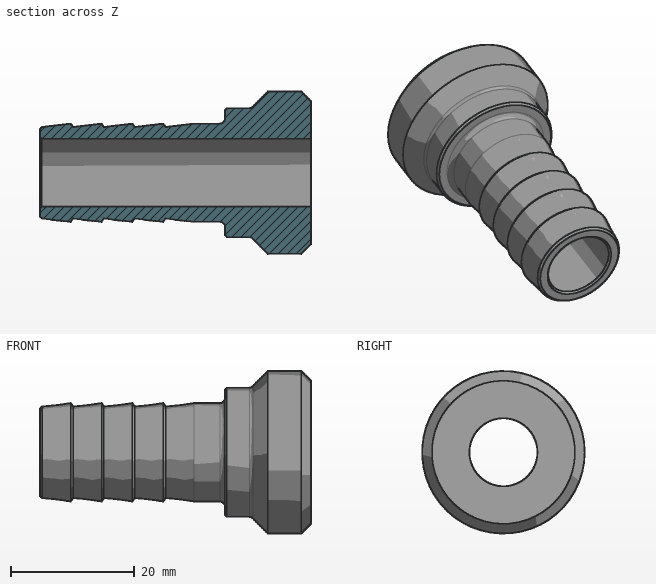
import cadquery as cq
import math

total_length = 44.0
barb_pitch = 5.0
barb_count = 5
barb_step_length = 0.4
collar_start = 30.0
cone_root = 34.3

bore_radius = 11.0 / 2
valley_radius = 7.45
stem_radius = 16.0 / 2
collar_radius = 21.0 / 2
head_radius = 26.4 / 2

nose_chamfer = 0.35
bore_chamfer = 0.3
stem_fillet = 0.8
collar_chamfer = 0.35
cone_fillet = 0.8
cone_angle = math.radians(45)
rim_chamfer = 1.6


def add_barbs(profile):
    """Conical barbs, each rising to the stem radius; the last one runs into the stem."""
    for number in range(1, barb_count + 1):
        crest = number * barb_pitch
        profile = profile.lineTo(crest, stem_radius)
        if number < barb_count:
            profile = profile.lineTo(crest + barb_step_length, valley_radius)
    return profile


def add_collar(profile):
    """Straight stem, concave blend into the collar face, and the chamfered collar."""
    arc_offset = stem_fillet * math.sin(math.pi / 4)
    blend_start = collar_start - stem_fillet
    blend_middle = (blend_start + arc_offset, stem_radius + stem_fillet - arc_offset)
    profile = profile.lineTo(blend_start, stem_radius)
    profile = profile.threePointArc(blend_middle, (collar_start, stem_radius + stem_fillet))
    profile = profile.lineTo(collar_start, collar_radius - collar_chamfer)
    return profile.lineTo(collar_start + collar_chamfer, collar_radius)


def add_head(profile):
    """Concave blend from the collar into the cone, then the head with its chamfered rim."""
    blend_start = cone_root - cone_fillet * math.tan(cone_angle / 2)

    def blend_point(angle):
        return (
            blend_start + cone_fillet * math.sin(angle),
            collar_radius + cone_fillet * (1 - math.cos(angle)),
        )

    cone_end = cone_root + (head_radius - collar_radius) / math.tan(cone_angle)
    profile = profile.lineTo(blend_start, collar_radius)
    profile = profile.threePointArc(blend_point(cone_angle / 2), blend_point(cone_angle))
    profile = profile.lineTo(cone_end, head_radius)
    profile = profile.lineTo(total_length - rim_chamfer, head_radius)
    return profile.lineTo(total_length, head_radius - rim_chamfer)


profile = cq.Workplane("XY").moveTo(0, bore_radius + bore_chamfer)
profile = profile.lineTo(0, valley_radius - nose_chamfer)
profile = profile.lineTo(nose_chamfer, valley_radius)
profile = add_barbs(profile)
profile = add_collar(profile)
profile = add_head(profile)
profile = profile.lineTo(total_length, bore_radius)
profile = profile.lineTo(bore_chamfer, bore_radius).close()

result = profile.revolve(360, (0, 0, 0), (1, 0, 0))